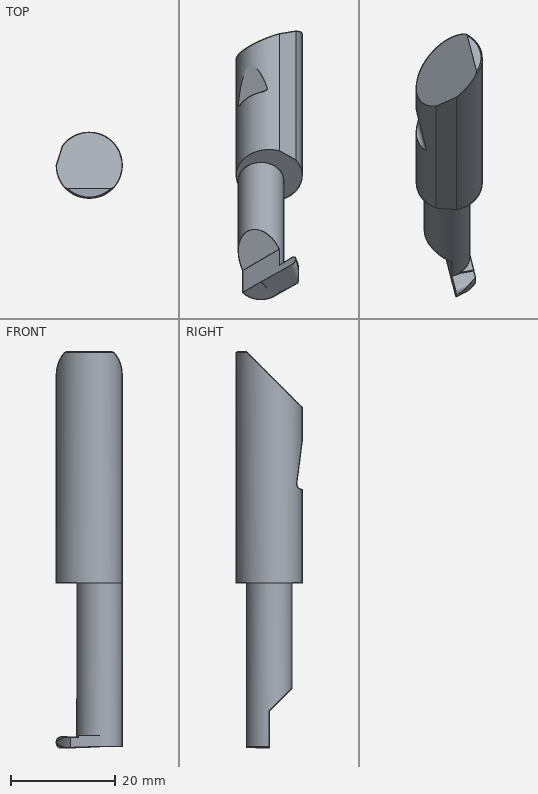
import cadquery as cq
import math

total_height = 76.16
neck_top_z = 31.75

shank_radius = 6.35
clocking_flat_end_y = 3.7
top_land_edge_y = -4.45
top_edge_chamfer = 0.25

notch_bottom_z = 49.7
notch_top_z = 59.0
notch_depth = 1.2
notch_corner_radius = 1.0

neck_radius = 4.375
neck_center_x = shank_radius - neck_radius
neck_bottom_z = 0.3
cutting_face_z = 7.1

nose_radius = 1.12
head_flank_angle = 2.0
side_relief_angle = 2.0
head_step_x = -2.1
head_step_top_z = 2.42
end_flank_front_x = -3.6
end_flank_radius = 10.5

cut_margin = 1.0


def yz_prism(outline, half_width):
    """A prism along X, centred on X = 0, from a closed YZ outline."""
    return outline.close().extrude(half_width, both=True)


def make_shank():
    shank = (
        cq.Workplane("XY", origin=(0, 0, neck_top_z))
        .circle(shank_radius)
        .extrude(total_height - neck_top_z)
        .faces(">Z")
        .chamfer(top_edge_chamfer)
    )
    return shank.cut(clocking_flat()).cut(top_bevel()).cut(clamping_notch())


def clocking_flat():
    """Body outside the chord that flattens the -X side over the full shank length."""
    flat_end_x = -math.sqrt(shank_radius**2 - clocking_flat_end_y**2)
    outer_x = -shank_radius - cut_margin
    return (
        cq.Workplane("XY", origin=(0, 0, neck_top_z))
        .moveTo(-shank_radius, 0)
        .lineTo(flat_end_x, clocking_flat_end_y)
        .lineTo(outer_x, clocking_flat_end_y)
        .lineTo(outer_x, 0)
        .close()
        .extrude(total_height - neck_top_z)
    )


def top_bevel():
    """Body above the 45 degree plane that falls away towards +Y."""
    outer_y = shank_radius + cut_margin
    drop = outer_y - top_land_edge_y
    outline = (
        cq.Workplane("YZ")
        .moveTo(top_land_edge_y, total_height)
        .lineTo(outer_y, total_height - drop)
        .lineTo(outer_y, total_height)
    )
    return yz_prism(outline, shank_radius + cut_margin)


def clamping_notch():
    """Ramped notch: deepest near its rounded lower corner, running out upwards."""
    outer_y = shank_radius + cut_margin
    floor_y = shank_radius - notch_depth
    outline = (
        cq.Workplane("YZ")
        .moveTo(outer_y, notch_bottom_z)
        .lineTo(floor_y, notch_bottom_z)
        .lineTo(shank_radius, notch_top_z)
        .lineTo(outer_y, notch_top_z)
    )
    notch = yz_prism(outline, shank_radius + cut_margin)
    return notch.edges("|X and <Y").fillet(notch_corner_radius)


def make_neck():
    neck = (
        cq.Workplane("XY", origin=(neck_center_x, 0, neck_bottom_z))
        .circle(neck_radius)
        .extrude(neck_top_z - neck_bottom_z)
    )
    outer_y = neck_radius + cut_margin
    outline = (
        cq.Workplane("YZ")
        .moveTo(0, 0)
        .lineTo(0, cutting_face_z)
        .lineTo(outer_y, cutting_face_z + outer_y)
        .lineTo(outer_y, 0)
    )
    return neck.cut(yz_prism(outline, shank_radius + cut_margin))


def make_head():
    return head_profile().intersect(head_plan())


def head_profile():
    """Body between a round-nosed XZ outline at the cutting face and a drawn-in one at the front."""
    nose_recess = neck_radius * math.tan(nose_relief_angle())
    side_recess = neck_radius * math.tan(math.radians(side_relief_angle))
    outline = head_outline(cq.Workplane("XZ"), 0, 0)
    outline = head_outline(outline.workplane(offset=neck_radius), nose_recess, side_recess)
    return outline.loft(ruled=True)


def nose_relief_angle():
    """Angle, in radians, at which the end flank leaves the nose tip, tangent to the nose."""
    flank_dx = end_flank_front_x + shank_radius
    chord_angle = math.atan2(flank_dx, neck_radius)
    half_arc_angle = math.asin(math.hypot(flank_dx, neck_radius) / (2 * end_flank_radius))
    return chord_angle - half_arc_angle


def head_outline(plane, nose_recess, side_recess):
    """Closed XZ outline with its nose moved back and its flanks moved in; the step top stays level."""
    flank = math.radians(head_flank_angle)
    radius = nose_radius - side_recess
    tip_x = -shank_radius + nose_recess
    tangent_x = tip_x + radius * (1 + math.sin(flank))
    tangent_offset_z = radius * math.cos(flank)
    lower_z = nose_radius - tangent_offset_z
    upper_z = nose_radius + tangent_offset_z
    step_foot_z = upper_z - (head_step_x - tangent_x) * math.tan(flank)
    heel_z = lower_z + (neck_center_x - tangent_x) * math.tan(flank)
    return (
        plane.moveTo(tangent_x, lower_z)
        .threePointArc((tip_x, nose_radius), (tangent_x, upper_z))
        .lineTo(head_step_x, step_foot_z)
        .lineTo(head_step_x, head_step_top_z)
        .lineTo(neck_center_x, head_step_top_z)
        .lineTo(neck_center_x, heel_z)
        .close()
    )


def head_plan():
    """Plan outline of the head: cutting face, curved end flank and flat front."""
    return (
        cq.Workplane("XY")
        .moveTo(neck_center_x, 0)
        .lineTo(-shank_radius, 0)
        .radiusArc((end_flank_front_x, -neck_radius), -end_flank_radius)
        .lineTo(neck_center_x, -neck_radius)
        .close()
        .extrude(head_step_top_z)
    )


result = make_shank().union(make_neck()).union(make_head())